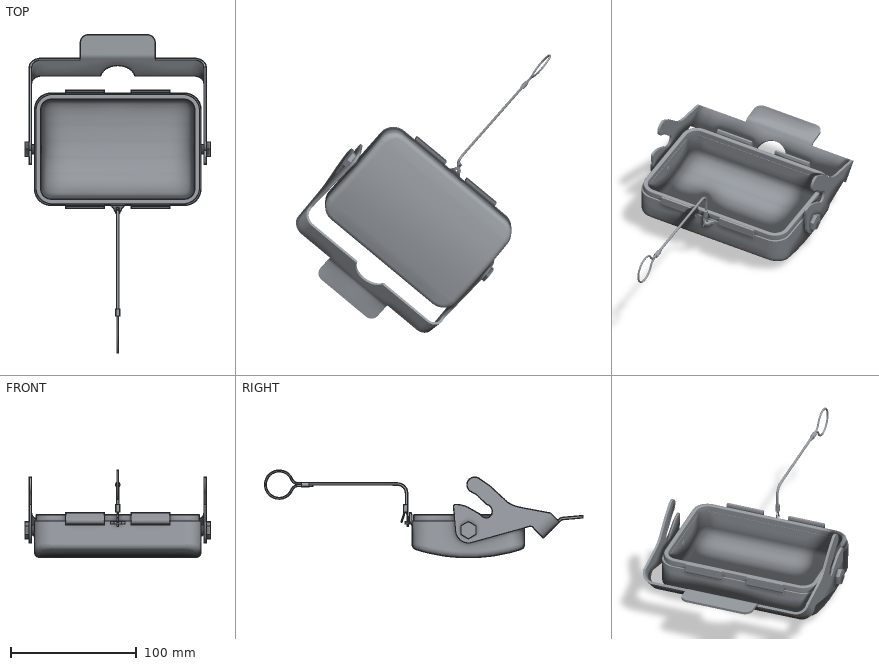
import cadquery as cq
import math


TRAY_LENGTH = 132.5
TRAY_WIDTH = 89.5
TRAY_DEPTH = 34.5
CORNER_RADIUS = 13.2
BELLY_RADIUS = 134.5
BELLY_TRIM = 2.5
WALL = 5.0
OUTER_FLOOR_FILLET = 4.5
INNER_FLOOR_FILLET = 4.0

COLLAR_HEIGHT = 5.0
COLLAR_INSET = 1.3
COLLAR_CORNER_RADIUS = 12.7
COLLAR_INNER_INSET = 4.8
COLLAR_EDGE_FILLET = 0.8

LIP_LENGTH = 31.0
LIP_CENTRE_X = 26.0
LIP_PROJECTION = 2.3
LIP_TOP_Z = 1.5
LIP_BOTTOM_Z = -8.0
LIP_CURVE_HEIGHT = 3.3
LIP_FOOT_HEIGHT = 0.8
LIP_FOOT_PROJECTION = 0.5
LIP_CHAMFER = 0.8
LIP_CHAMFER_HEIGHT = 2.0

PIVOT_Z = -12.5
BOLT_ACROSS_FLATS = 12.0
WIDTH_OVER_BOLTS = 147.8
SPACER_DIAMETER = 7.9
SHANK_DIAMETER = 4.8
SHANK_PROUD = 0.5

BAIL_HALF_WIDTH = 70.5
SHEET = 2.0
BEND_RADIUS = 10.1
PIVOT_EYE_RADIUS = 10.1
LOWER_EDGE_ANGLE = 15.5
HEEL_Y = 47.7
PLATE_TILT = 45.0
PLATE_HEIGHT = 18.3
PLATE_TOP_Y = 65.5
PLATE_TOP_Z = 1.3
NOTCH_RADIUS = 13.7
NOTCH_DEPTH = 11.7

TAB_WIDTH = 59.8
TAB_END_Y = 91.3
TAB_SLOPE = 5.0
TAB_BEND_RADIUS = 4.0
TAB_LEG = 1.3
TAB_CORNER_RADIUS = 6.5

CABLE_DIAMETER = 2.0
STRAND_DIAMETER = 1.0
CABLE_Y = -49.2
CABLE_Z = 24.3
CABLE_BEND_RADIUS = 7.4
FERRULE_DIAMETER = 3.5
FERRULE_LENGTH = 5.8
RING_RADIUS = 11.0
RING_CENTRE_Y = -150.5
RING_Z = 23.8
STRAND_OFFSET = 0.79
RING_WIRE_DIAMETER = 1.5
END_FERRULE_Y = -127.0
NECK_Y = -135.5
CABLE_END_Y = END_FERRULE_Y - FERRULE_LENGTH / 3
RING_START_Y = END_FERRULE_Y - FERRULE_LENGTH / 2
TAIL_LENGTH = 3.3
LOW_FERRULE_Y = -50.0
LOW_FERRULE_Z = 2.0
HOOK_Y = -48.2
HOOK_BEND_Z = -2.5
HOOK_TIP_Z = -9.5
FREE_STRAND_TOP_Y = -49.7
FREE_STRAND_TIP = (-53.3, -6.0)

ANCHOR_WIDTH = 11.2
ANCHOR_THICKNESS = 2.0
ANCHOR_BOTTOM_Z = -7.5
ANCHOR_TIP_Y = -50.5
ANCHOR_TIP_RADIUS = 3.0
ANCHOR_HOLE_DIAMETER = 2.0


def rounded_block(length, width, radius, bottom_z, top_z):
    return (
        cq.Workplane("XY", origin=(0, 0, bottom_z))
        .rect(length, width)
        .extrude(top_z - bottom_z)
        .edges("|Z")
        .fillet(radius)
    )


def bellied_block(inset, depth, floor_fillet):
    """Rounded block with a cylindrical underside, inset from the outside of the tray."""
    block = rounded_block(
        TRAY_LENGTH - 2 * inset,
        TRAY_WIDTH - 2 * inset,
        CORNER_RADIUS - inset,
        -depth - BELLY_TRIM,
        -COLLAR_HEIGHT,
    )
    belly_radius = BELLY_RADIUS - TRAY_DEPTH + depth
    belly = (
        cq.Workplane("YZ", origin=(0, 0, belly_radius - depth))
        .circle(belly_radius)
        .extrude(TRAY_LENGTH / 2, both=True)
    )
    return block.intersect(belly).faces("<Z").edges().fillet(floor_fillet)


def make_tray():
    cavity = bellied_block(WALL, TRAY_DEPTH - WALL, INNER_FLOOR_FILLET)
    collar = rounded_block(
        TRAY_LENGTH - 2 * COLLAR_INSET,
        TRAY_WIDTH - 2 * COLLAR_INSET,
        COLLAR_CORNER_RADIUS,
        -COLLAR_HEIGHT,
        0,
    )
    mouth = rounded_block(
        TRAY_LENGTH - 2 * COLLAR_INNER_INSET,
        TRAY_WIDTH - 2 * COLLAR_INNER_INSET,
        COLLAR_CORNER_RADIUS + COLLAR_INSET - COLLAR_INNER_INSET,
        -COLLAR_HEIGHT,
        0,
    )
    collar = collar.cut(mouth).faces(">Z").edges().fillet(COLLAR_EDGE_FILLET)
    return bellied_block(0, TRAY_DEPTH, OUTER_FLOOR_FILLET).cut(cavity).union(collar)


def make_lip(centre_x, side):
    """Catch lip on the long wall at side = +1 or -1, rounded under its outer face."""
    wall_y = TRAY_WIDTH / 2
    outer_y = wall_y + LIP_PROJECTION
    buried_y = wall_y - COLLAR_INSET
    foot_y = wall_y + LIP_FOOT_PROJECTION
    foot_z = LIP_BOTTOM_Z + LIP_FOOT_HEIGHT
    curve_mid_y = foot_y + (outer_y - foot_y) * math.sin(math.pi / 4)
    curve_top_z = foot_z + LIP_CURVE_HEIGHT
    curve_mid_z = curve_top_z - LIP_CURVE_HEIGHT * math.sin(math.pi / 4)
    return (
        cq.Workplane("YZ", origin=(centre_x, 0, 0))
        .moveTo(side * (wall_y + LIP_CHAMFER), LIP_TOP_Z)
        .lineTo(side * outer_y, LIP_TOP_Z)
        .lineTo(side * outer_y, curve_top_z)
        .threePointArc((side * curve_mid_y, curve_mid_z), (side * foot_y, foot_z))
        .lineTo(side * foot_y, LIP_BOTTOM_Z)
        .lineTo(side * buried_y, LIP_BOTTOM_Z)
        .lineTo(side * buried_y, -COLLAR_HEIGHT)
        .lineTo(side * wall_y, -COLLAR_HEIGHT)
        .lineTo(side * wall_y, LIP_TOP_Z - LIP_CHAMFER_HEIGHT)
        .close()
        .extrude(LIP_LENGTH / 2, both=True)
    )


def make_bolt(side):
    """Hex-headed pivot bolt through one arm of the bail, at side = +1 or -1."""
    axis = cq.Vector(side, 0, 0)
    wall_x = TRAY_LENGTH / 2
    across_corners = BOLT_ACROSS_FLATS / math.cos(math.pi / 6)

    def pivot_plane(x):
        return cq.Workplane(cq.Plane((side * x, 0, PIVOT_Z), (0, 0, 1), axis))

    head_height = WIDTH_OVER_BOLTS / 2 - BAIL_HALF_WIDTH
    head = pivot_plane(BAIL_HALF_WIDTH).polygon(6, across_corners).extrude(head_height)
    spacer = pivot_plane(wall_x).circle(SPACER_DIAMETER / 2).extrude(BAIL_HALF_WIDTH - wall_x)
    shank_start = wall_x - WALL - SHANK_PROUD
    shank = pivot_plane(shank_start).circle(SHANK_DIAMETER / 2).extrude(BAIL_HALF_WIDTH - shank_start)
    return head.union(spacer).union(shank)


def make_arm(side):
    """Side arm of the bail with its finger, keeper slot, nose and pivot eye."""
    tilt = math.radians(PLATE_TILT)
    lower = math.radians(LOWER_EDGE_ANGLE)
    plate_bottom_y = PLATE_TOP_Y - PLATE_HEIGHT * math.cos(tilt)
    plate_bottom_z = PLATE_TOP_Z - PLATE_HEIGHT * math.sin(tilt)
    eye_start_y = PIVOT_EYE_RADIUS * math.sin(lower)
    eye_start_z = PIVOT_Z - PIVOT_EYE_RADIUS * math.cos(lower)
    heel_z = eye_start_z + (HEEL_Y - eye_start_y) * math.tan(lower)
    half_root = PIVOT_EYE_RADIUS * math.sqrt(0.5)
    return (
        cq.Workplane("YZ", origin=(side * BAIL_HALF_WIDTH, 0, 0))
        .moveTo(PLATE_TOP_Y, PLATE_TOP_Z)
        .lineTo(41.3, 5.8)
        .threePointArc((36.0, 7.4), (31.2, 10.0))
        .lineTo(17.2, 22.8)
        .lineTo(9.1, 28.5)
        .threePointArc((-0.8, 25.9), (2.0, 18.3))
        .lineTo(6.5, 15.7)
        .lineTo(14.5, 8.0)
        .threePointArc((18.8, 1.3), (15.2, -2.8))
        .threePointArc((12.5, -2.3), (9.1, 0.5))
        .lineTo(-0.8, 6.0)
        .threePointArc((-5.3, 7.5), (-10.5, 8.0))
        .threePointArc((-11.7, 7.4), (-12.0, 6.0))
        .lineTo(-11.2, -1.3)
        .lineTo(-PIVOT_EYE_RADIUS, PIVOT_Z)
        .threePointArc((-half_root, PIVOT_Z - half_root), (eye_start_y, eye_start_z))
        .lineTo(HEEL_Y, heel_z)
        .threePointArc((49.5, -9.5), (51.2, -10.0))
        .lineTo(plate_bottom_y, plate_bottom_z)
        .close()
        .extrude(-side * SHEET)
    )


def make_back_plate():
    """Back plate with both corner bends: a U section extruded along the bend axis."""
    tilt = math.radians(PLATE_TILT)
    down_axis = cq.Vector(0, -math.cos(tilt), -math.sin(tilt))
    section_plane = cq.Plane((0, PLATE_TOP_Y, PLATE_TOP_Z), (1, 0, 0), down_axis)
    bend_x = BAIL_HALF_WIDTH - BEND_RADIUS
    inner_radius = BEND_RADIUS - SHEET
    inner_x = bend_x + inner_radius

    def bend_middle(radius):
        return bend_x + radius * math.sqrt(0.5), -radius * math.sqrt(0.5)

    outer_mid_x, outer_mid_y = bend_middle(BEND_RADIUS)
    inner_mid_x, inner_mid_y = bend_middle(inner_radius)
    plate = (
        cq.Workplane(section_plane)
        .moveTo(BAIL_HALF_WIDTH, 0)
        .threePointArc((outer_mid_x, outer_mid_y), (bend_x, -BEND_RADIUS))
        .lineTo(-bend_x, -BEND_RADIUS)
        .threePointArc((-outer_mid_x, outer_mid_y), (-BAIL_HALF_WIDTH, 0))
        .lineTo(-inner_x, 0)
        .threePointArc((-inner_mid_x, inner_mid_y), (-bend_x, -inner_radius))
        .lineTo(bend_x, -inner_radius)
        .threePointArc((inner_mid_x, inner_mid_y), (inner_x, 0))
        .close()
        .extrude(PLATE_HEIGHT)
    )
    outward = cq.Vector(0, math.sin(tilt), -math.cos(tilt))
    notch_centre = section_plane.origin + down_axis * (PLATE_HEIGHT + NOTCH_RADIUS - NOTCH_DEPTH)
    notch = (
        cq.Workplane(cq.Plane(notch_centre, (1, 0, 0), outward))
        .circle(NOTCH_RADIUS)
        .extrude(BEND_RADIUS + SHEET)
    )
    return plate.cut(notch)


def make_tab():
    """Thumb tab that bends outward from the top edge of the back plate."""
    tilt = math.radians(PLATE_TILT)
    slope = math.radians(TAB_SLOPE)
    middle = (tilt + slope) / 2
    centre_offset = BEND_RADIUS - SHEET / 2 + TAB_BEND_RADIUS
    centre_y = PLATE_TOP_Y + centre_offset * math.sin(tilt) + TAB_LEG * math.cos(tilt)
    centre_z = PLATE_TOP_Z - centre_offset * math.cos(tilt) + TAB_LEG * math.sin(tilt)

    def on_bend(radius, angle):
        return centre_y - radius * math.sin(angle), centre_z + radius * math.cos(angle)

    upper = TAB_BEND_RADIUS + SHEET / 2
    under = TAB_BEND_RADIUS - SHEET / 2

    def leg_foot(radius):
        leg_y, leg_z = on_bend(radius, tilt)
        return leg_y - TAB_LEG * math.cos(tilt), leg_z - TAB_LEG * math.sin(tilt)

    def end_point(radius):
        start_y, start_z = on_bend(radius, slope)
        return TAB_END_Y, start_z + (TAB_END_Y - start_y) * math.tan(slope)

    return (
        cq.Workplane("YZ")
        .moveTo(*leg_foot(upper))
        .lineTo(*on_bend(upper, tilt))
        .threePointArc(on_bend(upper, middle), on_bend(upper, slope))
        .lineTo(*end_point(upper))
        .lineTo(*end_point(under))
        .lineTo(*on_bend(under, slope))
        .threePointArc(on_bend(under, middle), on_bend(under, tilt))
        .lineTo(*leg_foot(under))
        .close()
        .extrude(TAB_WIDTH / 2, both=True)
        .faces(">Y")
        .edges("not |X")
        .fillet(TAB_CORNER_RADIUS)
    )


def make_bail():
    return make_back_plate().union(make_tab()).union(make_arm(1)).union(make_arm(-1))


def make_anchor():
    wall_y = -TRAY_WIDTH / 2
    tip_centre_y = ANCHOR_TIP_Y + ANCHOR_TIP_RADIUS
    half_width = ANCHOR_WIDTH / 2
    return (
        cq.Workplane("XY", origin=(0, 0, ANCHOR_BOTTOM_Z))
        .moveTo(-half_width, wall_y + WALL / 2)
        .lineTo(-half_width, wall_y)
        .lineTo(-ANCHOR_TIP_RADIUS, tip_centre_y)
        .threePointArc((0, ANCHOR_TIP_Y), (ANCHOR_TIP_RADIUS, tip_centre_y))
        .lineTo(half_width, wall_y)
        .lineTo(half_width, wall_y + WALL / 2)
        .close()
        .extrude(ANCHOR_THICKNESS)
        .faces(">Z")
        .workplane(origin=(0, tip_centre_y, 0))
        .hole(ANCHOR_HOLE_DIAMETER)
    )


def rod(start, end, diameter):
    """Straight round rod between two (y, z) points in the plane X = 0."""
    base = cq.Vector(0, *start)
    direction = cq.Vector(0, *end) - base
    return cq.Workplane(cq.Solid.makeCylinder(diameter / 2, direction.Length, base, direction))


def make_cable():
    """Main cable: up from the lower ferrule, round a bend and out to the end ferrule."""
    bend_mid_offset = CABLE_BEND_RADIUS * (1 - math.sqrt(0.5))
    path = (
        cq.Workplane("YZ")
        .moveTo(CABLE_Y, LOW_FERRULE_Z)
        .lineTo(CABLE_Y, CABLE_Z - CABLE_BEND_RADIUS)
        .threePointArc(
            (CABLE_Y - bend_mid_offset, CABLE_Z - bend_mid_offset),
            (CABLE_Y - CABLE_BEND_RADIUS, CABLE_Z),
        )
        .lineTo(CABLE_END_Y, CABLE_Z)
    )
    profile = cq.Workplane("XY", origin=(0, CABLE_Y, LOW_FERRULE_Z)).circle(CABLE_DIAMETER / 2)
    return profile.sweep(path)


def make_ring():
    """Teardrop wire ring: each neck arc is tangent to the cable direction and to the ring."""
    neck_reach = NECK_Y - RING_CENTRE_Y
    neck_radius = (neck_reach**2 + STRAND_OFFSET**2 - RING_RADIUS**2) / (2 * (RING_RADIUS - STRAND_OFFSET))
    neck_height = neck_radius + STRAND_OFFSET
    join_angle = math.atan2(neck_height, neck_reach)
    join_y = RING_CENTRE_Y + RING_RADIUS * math.cos(join_angle)
    join_height = RING_RADIUS * math.sin(join_angle)
    mid_angle = (math.pi / 2 - join_angle) / 2
    mid_y = NECK_Y - neck_radius * math.sin(mid_angle)
    mid_height = neck_height - neck_radius * math.cos(mid_angle)
    start_z = RING_Z + STRAND_OFFSET
    tail_z = RING_Z - STRAND_OFFSET
    path = (
        cq.Workplane("YZ")
        .moveTo(RING_START_Y, start_z)
        .lineTo(NECK_Y, start_z)
        .threePointArc((mid_y, RING_Z + mid_height), (join_y, RING_Z + join_height))
        .threePointArc((RING_CENTRE_Y - RING_RADIUS, RING_Z), (join_y, RING_Z - join_height))
        .threePointArc((mid_y, RING_Z - mid_height), (NECK_Y, tail_z))
        .lineTo(END_FERRULE_Y + TAIL_LENGTH, tail_z)
    )
    return cq.Workplane("XZ", origin=(0, RING_START_Y, start_z)).circle(RING_WIRE_DIAMETER / 2).sweep(path)


def make_ferrules():
    end = rod((END_FERRULE_Y, RING_Z), (END_FERRULE_Y - FERRULE_LENGTH, RING_Z), FERRULE_DIAMETER)
    low_top_z = LOW_FERRULE_Z + FERRULE_LENGTH
    low = rod((LOW_FERRULE_Y, LOW_FERRULE_Z), (LOW_FERRULE_Y, low_top_z), FERRULE_DIAMETER)
    return end.union(low)


def make_strands():
    """Two strand ends below the lower ferrule: one hooked through the anchor, one hanging free."""
    strand_top_z = LOW_FERRULE_Z + FERRULE_LENGTH / 2
    hook_upper = rod((CABLE_Y, strand_top_z), (HOOK_Y, HOOK_BEND_Z), STRAND_DIAMETER)
    hook_lower = rod((HOOK_Y, HOOK_BEND_Z), (HOOK_Y, HOOK_TIP_Z), STRAND_DIAMETER)
    free = rod((FREE_STRAND_TOP_Y, strand_top_z), FREE_STRAND_TIP, STRAND_DIAMETER)
    return hook_upper.union(hook_lower).union(free)


result = make_tray()
for side in (-1, 1):
    for lip_x in (-LIP_CENTRE_X, LIP_CENTRE_X):
        result = result.union(make_lip(lip_x, side))
result = result.union(make_bail())
for side in (-1, 1):
    result = result.union(make_bolt(side))
cable_pieces = (
    make_anchor(),
    make_ferrules(),
    make_cable(),
    make_ring(),
    make_strands(),
)
for piece in cable_pieces:
    result = result.union(piece)